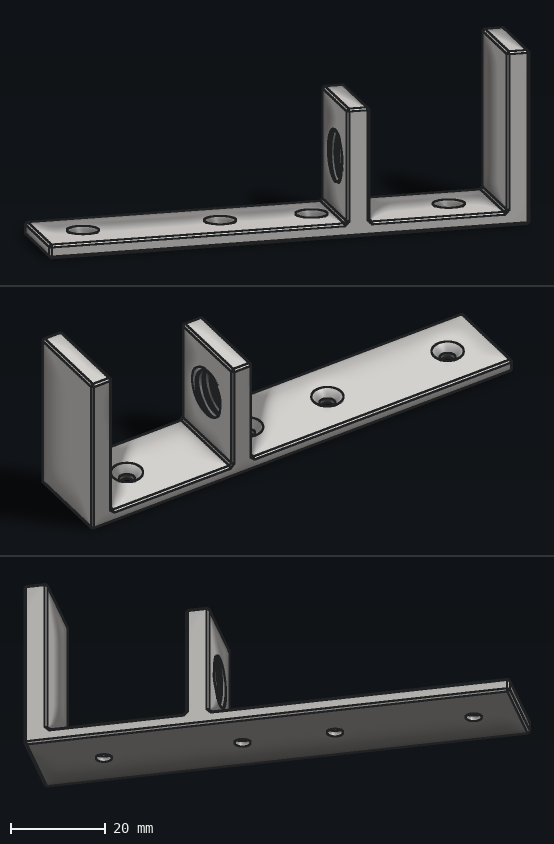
import cadquery as cq

width = 20.0
length = 105.0
base_thickness = 3.0

wall_thickness = 5.0
back_wall_height = 38.0
middle_wall_height = 28.0
wall_gap = 30.0
middle_wall_back = length - wall_thickness - wall_gap
middle_wall_front = middle_wall_back - wall_thickness

edge_chamfer = 0.5

screw_diameter = 3.4
countersink_diameter = 6.8
countersink_angle = 90.0
screw_distances_from_back = (15.0, 45.0, 65.0, 95.0)

thread_pitch = 1.75
thread_major_diameter = 12.3
thread_minor_diameter = 10.4
thread_root_width = thread_pitch / 8
thread_mouth_width = thread_pitch * 3 / 4
thread_height = (base_thickness + middle_wall_height) / 2
groove_overlap = 0.2
bore_overrun = 5.0


def make_body():
    """Side outline extruded across the width, with every edge chamfered."""
    outline = [
        (0, 0),
        (length, 0),
        (length, back_wall_height),
        (length - wall_thickness, back_wall_height),
        (length - wall_thickness, base_thickness),
        (middle_wall_back, base_thickness),
        (middle_wall_back, middle_wall_height),
        (middle_wall_front, middle_wall_height),
        (middle_wall_front, base_thickness),
        (0, base_thickness),
    ]
    body = cq.Workplane("YZ").polyline(outline).close().extrude(width / 2, both=True)
    return body.edges().chamfer(edge_chamfer)


def cut_screw_holes(body):
    """Row of countersunk holes along the centreline of the base plate."""
    centres = [(0, length - distance) for distance in screw_distances_from_back]
    base_top = body.copyWorkplane(cq.Workplane("XY", origin=(0, 0, base_thickness)))
    return base_top.pushPoints(centres).cskHole(
        screw_diameter, countersink_diameter, countersink_angle, depth=base_thickness
    )


def make_thread_cutter():
    """Bore with a right-hand helical groove, along +Z with the wall's front face at Z = 0."""
    minor_radius = thread_minor_diameter / 2
    major_radius = thread_major_diameter / 2

    flank_slope = (thread_mouth_width - thread_root_width) / 2 / (major_radius - minor_radius)
    inner_radius = minor_radius - groove_overlap
    inner_half_width = thread_mouth_width / 2 + flank_slope * groove_overlap
    root_half_width = thread_root_width / 2

    groove_start = -thread_pitch
    groove_length = wall_thickness + 2 * thread_pitch
    helix = cq.Wire.makeHelix(thread_pitch, groove_length, minor_radius)
    groove = (
        cq.Workplane("XZ")
        .polyline([
            (inner_radius, -inner_half_width),
            (major_radius, -root_half_width),
            (major_radius, root_half_width),
            (inner_radius, inner_half_width),
        ])
        .close()
        .sweep(cq.Workplane(helix), isFrenet=True)
        .translate((0, 0, groove_start))
    )
    bore_length = wall_thickness + 2 * bore_overrun
    bore = cq.Workplane("XY", origin=(0, 0, -bore_overrun)).circle(minor_radius).extrude(bore_length)
    return bore.union(groove)


def cut_threaded_hole(body):
    """Threaded hole through the middle wall, along Y."""
    cutter = make_thread_cutter().rotate((0, 0, 0), (1, 0, 0), -90)
    return body.cut(cutter.translate((0, middle_wall_front, thread_height)))


result = make_body()
result = cut_screw_holes(result)
result = cut_threaded_hole(result)